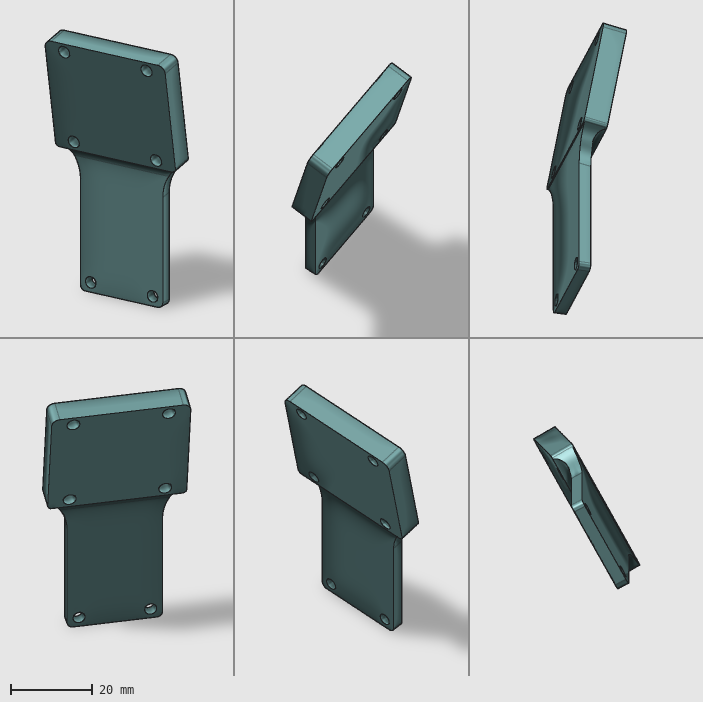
import cadquery as cq
import math

overall_height = 68.2
tilt = 10.0
head_width = 35.0
head_length = 30.0
head_thickness = 6.0
head_top_radius = 2.0
head_bottom_radius = 1.1
head_hole_diameter = 3.2
head_hole_edge = 2.3

plate_width = 24.0
plate_thickness = 3.0
plate_setback = 0.3
plate_corner_radius = 1.5
plate_hole_diameter = 3.0
plate_hole_spacing = 18.0
plate_hole_height = 2.6

crease_radius = 2.5
shoulder_radius = 10.5

sin_tilt = math.sin(math.radians(tilt))
cos_tilt = math.cos(math.radians(tilt))

head_base_z = overall_height - head_length * cos_tilt
plate_back_y = -plate_setback
plate_front_y = plate_back_y - plate_thickness

head_plane = cq.Plane(
    origin=(0, 0, head_base_z),
    xDir=(1, 0, 0),
    normal=(0, -cos_tilt, -sin_tilt),
)


def head_point(up, forward):
    """Return the (y, z) of a place given along the head and through its thickness."""
    return (
        -up * sin_tilt - forward * cos_tilt,
        head_base_z + up * cos_tilt - forward * sin_tilt,
    )


def make_head():
    block = (
        cq.Workplane(head_plane)
        .center(0, head_length / 2)
        .rect(head_width, head_length)
        .extrude(head_thickness)
    )
    return block.faces(">Z").edges(cq.selectors.ParallelDirSelector(head_plane.zDir)).fillet(head_top_radius)


def make_plate():
    """Plate, plus the crease blend under the head, at full head width."""
    def underside_z(y):
        return head_base_z + y * sin_tilt / cos_tilt

    half_angle = math.radians((90 - tilt) / 2)
    tangent_length = crease_radius / math.tan(half_angle)
    corner_z = underside_z(plate_front_y)
    arc_start = (plate_front_y, corner_z - tangent_length)
    center = (plate_front_y - crease_radius, arc_start[1])
    front_y = head_point(0, head_thickness)[0]
    arc_end_y = max(front_y, plate_front_y - tangent_length * cos_tilt)

    def arc_point(y):
        return (y, center[1] + math.sqrt(crease_radius**2 - (y - center[0]) ** 2))

    inside_head = head_point(head_thickness / 2, head_thickness / 2)
    return (
        cq.Workplane("YZ")
        .moveTo(plate_back_y, 0)
        .lineTo(plate_front_y, 0)
        .lineTo(*arc_start)
        .threePointArc(arc_point((plate_front_y + arc_end_y) / 2), arc_point(arc_end_y))
        .lineTo(*head_point(0, head_thickness))
        .lineTo(*inside_head)
        .lineTo(plate_back_y, underside_z(plate_back_y))
        .close()
        .extrude(head_width / 2, both=True)
    )


def make_outline():
    """Front outline of the whole part, swept square to the head."""
    side_x = head_width / 2
    neck_x = plate_width / 2
    corner_x = side_x - head_bottom_radius
    hollow_x = neck_x + shoulder_radius
    reach = shoulder_radius + head_bottom_radius
    angle = math.acos((hollow_x - corner_x) / reach)
    hollow_y = head_bottom_radius - reach * math.sin(angle)

    def corner(a):
        return (corner_x + head_bottom_radius * math.cos(a), head_bottom_radius * (1 - math.sin(a)))

    def hollow(a):
        return (hollow_x - shoulder_radius * math.cos(a), hollow_y + shoulder_radius * math.sin(a))

    half = (
        cq.Workplane(head_plane)
        .moveTo(0, overall_height)
        .lineTo(side_x, overall_height)
        .lineTo(*corner(0))
        .threePointArc(corner(angle / 2), corner(angle))
        .threePointArc(hollow(angle / 2), hollow(0))
        .lineTo(neck_x, -overall_height)
        .lineTo(0, -overall_height)
        .close()
        .extrude(overall_height, both=True)
    )
    return half.union(half.mirror("YZ"))


def make_head_holes():
    return (
        cq.Workplane(head_plane)
        .center(0, head_length / 2)
        .rect(plate_width, head_length - 2 * head_hole_edge, forConstruction=True)
        .vertices()
        .circle(head_hole_diameter / 2)
        .extrude(head_thickness)
    )


def make_plate_holes():
    return (
        cq.Workplane("XZ", origin=(0, plate_back_y, plate_hole_height))
        .pushPoints([(-plate_hole_spacing / 2, 0), (plate_hole_spacing / 2, 0)])
        .circle(plate_hole_diameter / 2)
        .extrude(plate_thickness)
    )


body = make_head().union(make_plate()).intersect(make_outline())
bottom_corners = cq.selectors.BoxSelector(
    (-head_width, plate_front_y, -0.7), (head_width, plate_back_y, 0.7)
)
body = body.edges("|Y").edges(bottom_corners).fillet(plate_corner_radius)
result = body.cut(make_head_holes()).cut(make_plate_holes())